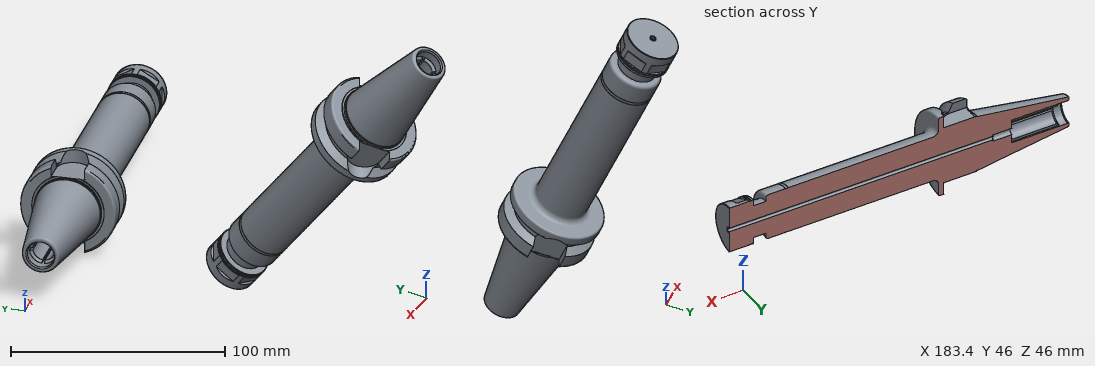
import cadquery as cq
import math

taper_length = 48.4
flange_start = 2.0
flange_end = 22.0
groove_center = 13.55
ring_groove_start = 102.8
ring_groove_width = 1.5
body_end = 114.9
nut_start = 121.5
nut_end = 134.6
collet_end = 135.0

gauge_diameter = 31.75
taper_ratio = 7 / 24
tip_fillet = 1.0
collar_start = 1.0
collar_diameter = 32.5

flange_diameter = 46.0
flange_edge_fillet = 1.0
face_recess_diameter = 34.9
face_recess_depth = 0.4
groove_diameter = 37.8
groove_floor_width = 3.15
groove_side_angle = 30.0

drive_slot_width = 16.1
drive_slot_floor = 16.3
drive_slot_end = 19.1

body_diameter = 26.0
body_end_fillet = 1.6
body_root_fillet = 3.0
ring_groove_depth = 0.1
neck_diameter = 19.0

nut_diameter = 26.0
nut_edge_chamfer = 0.25
nut_groove_start = 122.8
nut_groove_width = 1.0
nut_groove_depth = 0.2
nut_flat_count = 6
nut_flat_start = 124.0
nut_flat_end = 129.5
nut_flat_distance = 11.9
nut_flat_end_slope = 60.0

collet_tip_diameter = 3.0

mouth_diameter = 14.0
mouth_angle = 60.0
pilot_diameter = 13.0
pilot_depth = 5.0
thread_diameter = 10.5
thread_depth = 30.0
floor_diameter = 8.8
coolant_entry_diameter = 3.5
coolant_entry_depth = 10.0
coolant_diameter = 1.7
bore_slot_count = 4
bore_slot_width = 1.2

tip = -taper_length


def taper_radius(x):
    return (gauge_diameter + x * taper_ratio) / 2


def revolve_profile(points):
    """Revolve (x, radius) points about the X axis."""
    return cq.Workplane("XY").polyline(points).close().revolve(360, (0, 0, 0), (1, 0, 0))


def ring(x_start, x_end, inner_diameter, outer_diameter):
    inner = inner_diameter / 2
    outer = outer_diameter / 2
    return revolve_profile([(x_start, inner), (x_end, inner), (x_end, outer), (x_start, outer)])


def disc(x_start, x_end, diameter):
    return cq.Workplane("YZ", origin=(x_start, 0, 0)).circle(diameter / 2).extrude(x_end - x_start)


def make_taper():
    collar_radius = collar_diameter / 2
    collar_rise = collar_radius - taper_radius(0)
    collar_end = flange_start + face_recess_depth
    taper = revolve_profile([
        (tip, 0),
        (tip, taper_radius(tip)),
        (0, taper_radius(0)),
        (collar_start, taper_radius(0)),
        (collar_start + collar_rise, collar_radius),
        (collar_end, collar_radius),
        (collar_end, 0),
    ])
    return taper.faces("<X").edges().fillet(tip_fillet)


def make_flange():
    flange = disc(flange_start, flange_end, flange_diameter).edges().fillet(flange_edge_fillet)
    floor_radius = groove_diameter / 2
    rim_radius = flange_diameter / 2
    half_floor = groove_floor_width / 2
    half_rim = half_floor + (rim_radius - floor_radius) * math.tan(math.radians(groove_side_angle))
    groove = revolve_profile([
        (groove_center - half_rim, rim_radius),
        (groove_center - half_floor, floor_radius),
        (groove_center + half_floor, floor_radius),
        (groove_center + half_rim, rim_radius),
    ])
    face_recess = disc(flange_start, flange_start + face_recess_depth, face_recess_diameter)
    return flange.cut(groove).cut(face_recess)


def make_drive_slot(side):
    """Round-ended slot, open toward the taper; side is +1 for +Z and -1 for -Z."""
    half_width = drive_slot_width / 2
    arc_start = drive_slot_end - half_width
    depth = flange_diameter / 2 - drive_slot_floor
    return (
        cq.Workplane("XY", origin=(0, 0, side * drive_slot_floor))
        .moveTo(flange_start, -half_width)
        .lineTo(arc_start, -half_width)
        .threePointArc((drive_slot_end, 0), (arc_start, half_width))
        .lineTo(flange_start, half_width)
        .close()
        .extrude(side * depth)
    )


def make_body():
    radius = body_diameter / 2
    root = (
        cq.Workplane("XY")
        .moveTo(flange_end, radius)
        .lineTo(flange_end, radius + body_root_fillet)
        .radiusArc((flange_end + body_root_fillet, radius), -body_root_fillet)
        .close()
        .revolve(360, (0, 0, 0), (1, 0, 0))
    )
    body = disc(flange_start + face_recess_depth, body_end, body_diameter)
    body = body.faces(">X").edges().fillet(body_end_fillet)
    ring_groove = ring(
        ring_groove_start,
        ring_groove_start + ring_groove_width,
        body_diameter - 2 * ring_groove_depth,
        body_diameter,
    )
    return body.union(root).cut(ring_groove)


def make_nut_flat(index):
    """Cutter for one wrench flat whose front end slopes up to the rim."""
    rim = nut_diameter / 2
    slope_run = (rim - nut_flat_distance) / math.tan(math.radians(nut_flat_end_slope))
    return (
        cq.Workplane("XY", origin=(0, 0, -rim))
        .polyline([
            (nut_flat_start, nut_flat_distance),
            (nut_flat_end, nut_flat_distance),
            (nut_flat_end + slope_run, rim),
            (nut_flat_start, rim),
        ])
        .close()
        .extrude(2 * rim)
        .rotate((0, 0, 0), (1, 0, 0), index * 360 / nut_flat_count)
    )


def make_nut():
    nut = disc(nut_start, nut_end, nut_diameter).edges().chamfer(nut_edge_chamfer)
    nut = nut.cut(ring(
        nut_groove_start,
        nut_groove_start + nut_groove_width,
        nut_diameter - 2 * nut_groove_depth,
        nut_diameter,
    ))
    for index in range(nut_flat_count):
        nut = nut.cut(make_nut_flat(index))
    return nut


def make_bore():
    """Countersunk pilot bore, thread bore with a conical end, and the coolant passage."""
    mouth_depth = (mouth_diameter - pilot_diameter) / 2 / math.tan(math.radians(mouth_angle / 2))
    pilot_end = tip + pilot_depth
    pilot_cone_end = pilot_end + (pilot_diameter - thread_diameter) / 2
    thread_end = tip + thread_depth
    floor = thread_end + (thread_diameter - floor_diameter) / 2
    bore = revolve_profile([
        (tip, 0),
        (tip, mouth_diameter / 2),
        (tip + mouth_depth, pilot_diameter / 2),
        (pilot_end, pilot_diameter / 2),
        (pilot_cone_end, thread_diameter / 2),
        (thread_end, thread_diameter / 2),
        (floor, floor_diameter / 2),
        (floor, 0),
    ])
    bore = bore.union(disc(floor, floor + coolant_entry_depth, coolant_entry_diameter))
    bore = bore.union(disc(floor, collet_end, coolant_diameter))
    slot_reach = disc(pilot_end, floor, pilot_diameter).cut(disc(pilot_end, floor, floor_diameter))
    for index in range(bore_slot_count):
        slot = (
            cq.Workplane("XY")
            .box(floor - pilot_end, pilot_diameter, bore_slot_width, centered=(False, False, True))
            .translate((pilot_end, 0, 0))
            .rotate((0, 0, 0), (1, 0, 0), index * 360 / bore_slot_count)
        )
        bore = bore.union(slot.intersect(slot_reach))
    return bore


def make_holder():
    holder = make_taper().union(make_flange()).union(make_body())
    holder = holder.union(disc(body_end, nut_start, neck_diameter)).union(make_nut())
    holder = holder.union(disc(nut_end, collet_end, collet_tip_diameter))
    for side in (1, -1):
        holder = holder.cut(make_drive_slot(side))
    return holder.cut(make_bore())


result = make_holder()